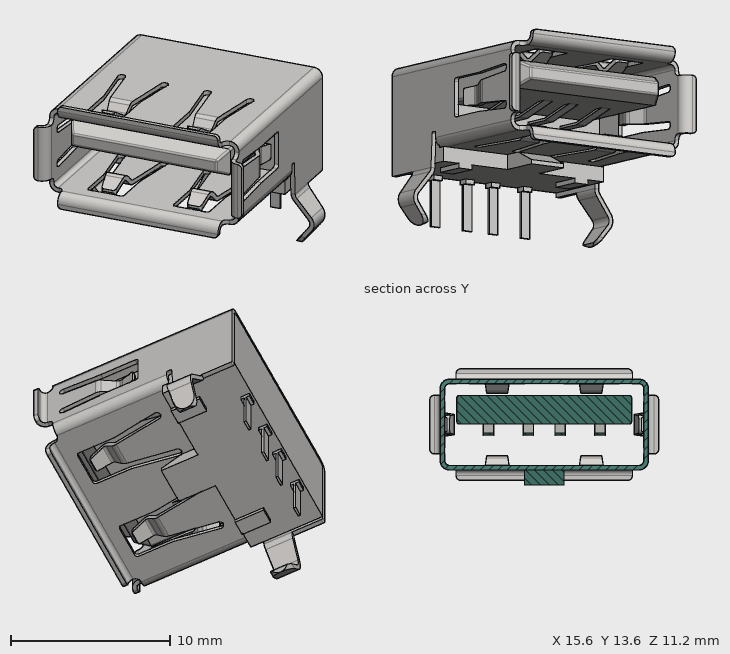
import cadquery as cq
import math


sheet = 0.3
opening_width = 12.5
opening_height = 5.12
shell_width = opening_width + 2 * sheet
shell_height = opening_height + 2 * sheet
inner_corner = 0.3
outer_corner = inner_corner + sheet
depth = 13.6
sleeve_front = 1.0
floor_end = 9.0
side_bottom = -1.25
side_corner = 0.1

lip_rise = 0.65
lip_bend = 0.5
lip_corner = 0.3
lip_root_round = 0.35
wide_lip = 11.1
side_lip = 3.7

slot_width = 0.5
window_half = 1.25
window_corner = 0.2
finger_corner = 0.2
finger_reach = 2.0
flat_finger_x = 2.96
flat_finger_y = 1.52
flat_finger = dict(
    straight=2.6, length=6.0, end_half=1.73, tip_half=0.47, bend=0.35,
    path=[(2.8, 0), (2.4, 0), (1.7, 0.69), (0.5, 0.0)],
)
side_finger_y = 6.99
side_finger = dict(
    straight=2.6, length=5.5, end_half=1.43, tip_half=0.54, bend=0.6,
    path=[(3.0, 0), (2.83, 0), (1.7, 0.6), (1.4, 0.6), (0.48, 0.3)],
)

leg_y = 10.46
leg_half_top = 0.99
leg_half_tip = 0.73
leg_lean = math.radians(51)
leg_bend = 0.6
leg_reach = 7.775
leg_bottom = -4.81

relief_top = 1.0
relief_top_width = 0.34
relief_round = 0.1

base_front = 8.56
insert_bottom = -0.95
foot_x = 4.52
foot_width = 1.0
foot_length = 2.0
wedge_width = 2.5
wedge_front = 6.0
wedge_nose = 0.27
wedge_top_front = 7.4

tongue_width = 11.0
tongue_bottom = 2.89
tongue_top = 4.69
tongue_front = sleeve_front
tongue_taper_start = 2.0
tongue_taper = 0.5
tongue_round = 0.15

contact_xs = (-3.5, -1.0, 1.0, 3.5)
contact_width = 0.67
contact_sheet = 0.15
contact_low = 2.18
contact_tip_y = 4.6
contact_crest_y = 7.25
contact_bend = 0.3
pin_y = 13.16
pin_bottom = -4.21
collar_depth = 0.6


def strip_face(path, bend, offset):
    """One face of a bent strip, left of its mid-line path by offset: start, bend arcs and end."""
    headings = []
    for (u0, v0), (u1, v1) in zip(path, path[1:]):
        run = math.hypot(u1 - u0, v1 - v0)
        headings.append(((u1 - u0) / run, (v1 - v0) / run))

    def beside(point, heading, along):
        u = point[0] + heading[0] * along - heading[1] * offset
        v = point[1] + heading[1] * along + heading[0] * offset
        return (u, v)

    arcs = []
    for point, a, b in zip(path[1:-1], headings, headings[1:]):
        turn = math.atan2(a[0] * b[1] - a[1] * b[0], a[0] * b[0] + a[1] * b[1])
        setback = bend * math.tan(abs(turn) / 2)
        radius = bend - math.copysign(1, turn) * offset
        span = math.hypot(b[0] - a[0], b[1] - a[1])
        inward = ((b[0] - a[0]) / span, (b[1] - a[1]) / span)
        reach = bend / math.cos(turn / 2) - radius
        middle = (point[0] + inward[0] * reach, point[1] + inward[1] * reach)
        arcs.append((beside(point, a, -setback), middle, beside(point, b, setback)))
    return beside(path[0], headings[0], 0), arcs, beside(path[-1], headings[-1], 0)


def bent_strip(plane, path, bend, thickness, width):
    """Strip of constant thickness along a mid-line path, centred on its plane."""
    start, arcs, end = strip_face(path, bend, thickness / 2)
    outline = cq.Workplane(plane).moveTo(*start)
    for first, middle, last in arcs:
        outline = outline.lineTo(*first).threePointArc(middle, last)
    outline = outline.lineTo(*end)
    start, arcs, end = strip_face(path, bend, -thickness / 2)
    outline = outline.lineTo(*end)
    for first, middle, last in reversed(arcs):
        outline = outline.lineTo(*last).threePointArc(middle, first)
    return outline.lineTo(*start).close().extrude(width / 2, both=True)


def block(x0, x1, y0, y1, z0, z1):
    return cq.Workplane("XY").box(x1 - x0, y1 - y0, z1 - z0, centered=False).translate((x0, y0, z0))


def mirrored_pair(left):
    return [left, left.mirror("YZ")]


def onto_top(feature, x=0, y=0):
    """Moves a feature made on a wall whose outer face is z = 0 onto the top wall."""
    return feature.translate((x, y, shell_height))


def onto_floor(feature, x=0, y=0):
    return feature.mirror("XY").translate((x, y, 0))


def onto_left(feature, y=0):
    turned = feature.rotate((0, 0, 0), (0, 1, 0), -90)
    return turned.translate((-shell_width / 2, y, shell_height / 2))



def make_sleeve():
    """Closed sleeve in front, and an open-bottomed channel with side plates behind the floor."""
    middle = shell_height / 2
    length = floor_end - sleeve_front
    sleeve = block(-shell_width / 2, shell_width / 2, sleeve_front, floor_end, 0, shell_height)
    sleeve = sleeve.edges("|Y").fillet(outer_corner)
    bore = cq.Workplane("XY").box(opening_width, length, opening_height).edges("|Y").fillet(inner_corner)
    sleeve = sleeve.cut(bore.translate((0, sleeve_front + length / 2, middle)))

    half = shell_width / 2
    channel = block(-half, half, floor_end, depth, side_bottom, shell_height)
    channel = channel.edges("|Y and >Z").fillet(outer_corner)
    channel = channel.edges("|X and <Z and >Y").fillet(side_corner)
    half = opening_width / 2
    inside = block(-half, half, floor_end, depth, side_bottom, shell_height - sheet)
    channel = channel.cut(inside.edges("|Y and >Z").fillet(inner_corner))
    return sleeve.union(channel)


def make_lip(width):
    """Lip bent outwards, with rounded free corners and a rounded root on either side."""
    mid = sheet / 2
    path = [(sleeve_front, -mid), (mid, -mid), (mid, lip_rise)]
    lip = bent_strip("YZ", path, lip_bend, sheet, width)
    lip = lip.edges("|Y and >Z").fillet(lip_corner)
    root_half = width / 2 + lip_root_round
    root_front = sleeve_front - lip_root_round
    root = block(-root_half, root_half, root_front, sleeve_front, -sheet, 0)
    for x in (-root_half, root_half):
        corner = cq.Workplane("XY").center(x, root_front).circle(lip_root_round).extrude(-sheet)
        root = root.cut(corner)
    return lip.union(root)


def finger_half(finger, length):
    """Half width of the tapered finger at a distance from the free end of its window."""
    tip = finger["path"][-1][0]
    root_half = finger["end_half"] - slot_width
    root = finger["length"] - slot_width / 2
    return finger["tip_half"] + (root_half - finger["tip_half"]) * (length - tip) / (root - tip)


def make_window(finger):
    """Opening around a finger and below its bent part; the flat part of the finger stays in the wall."""
    slot_end = finger["length"] - slot_width / 2
    end_half = finger["end_half"]
    fold = finger["path"][0][0]
    fold_half = finger_half(finger, fold)
    window = (
        cq.Workplane("XY")
        .moveTo(-window_half, 0)
        .lineTo(window_half, 0)
        .lineTo(window_half, finger["straight"])
        .lineTo(end_half, slot_end)
        .threePointArc((end_half - slot_width / 2, finger["length"]), (end_half - slot_width, slot_end))
        .lineTo(fold_half, fold)
        .lineTo(-fold_half, fold)
        .lineTo(slot_width - end_half, slot_end)
        .threePointArc((slot_width / 2 - end_half, finger["length"]), (-end_half, slot_end))
        .lineTo(-window_half, finger["straight"])
        .close()
        .extrude(-sheet)
    )
    return window.edges("|Z and <Y").fillet(window_corner)


def make_finger(finger):
    """Bent part of a spring finger, tapering to its rounded tip."""
    path = [(length, -dip - sheet / 2) for length, dip in finger["path"]]
    fold = path[0][0]
    tip = path[-1][0]
    fold_half = finger_half(finger, fold)
    tip_half = finger["tip_half"]
    corners = [(-fold_half, fold), (fold_half, fold), (tip_half, tip), (-tip_half, tip)]
    outline = cq.Workplane("XY").polyline(corners).close().extrude(finger_reach, both=True)
    outline = outline.edges("|Z and <Y").fillet(finger_corner)
    return bent_strip("YZ", path, finger["bend"], sheet, 2 * window_half).intersect(outline)


def make_leg():
    """Left board leg: a tapered, round-ended strip bent out and then back in."""
    wall_x = -(shell_width - sheet) / 2
    bend_z = side_bottom - leg_bend * math.tan((math.pi / 2 - leg_lean) / 2)
    knee_x = sheet / 2 - leg_reach - leg_bend * (1 / math.sin(leg_lean) - 1)
    knee_z = bend_z - (wall_x - knee_x) * math.tan(leg_lean)
    end_z = leg_bottom + sheet / 2 * math.cos(leg_lean)
    end_x = knee_x + (knee_z - end_z) / math.tan(leg_lean)
    path = [(wall_x, 0), (wall_x, bend_z), (knee_x, knee_z), (end_x, end_z)]
    strip = bent_strip("XZ", path, leg_bend, sheet, 2 * leg_half_top).translate((0, leg_y, 0))

    round_height = leg_half_tip * math.sin(leg_lean)
    round_z = leg_bottom + round_height
    corners = [
        (leg_y - leg_half_top, side_bottom),
        (leg_y + leg_half_top, side_bottom),
        (leg_y + leg_half_tip, round_z),
        (leg_y - leg_half_tip, round_z),
    ]
    outline = cq.Workplane("YZ").polyline(corners).close().extrude(-shell_width)
    tip = cq.Workplane("YZ").center(leg_y, round_z).ellipse(leg_half_tip, round_height).extrude(-shell_width)
    return strip.intersect(outline.union(tip))


def make_relief():
    """Slot through both side plates in front of the legs."""
    corners = [
        (floor_end, relief_top),
        (floor_end + relief_top_width, relief_top),
        (leg_y - leg_half_top, side_bottom),
        (floor_end, side_bottom),
    ]
    relief = cq.Workplane("YZ").polyline(corners).close().extrude(shell_width / 2, both=True)
    return relief.edges("|X and >Z").fillet(relief_round)


def make_shell():
    shell = make_sleeve().cut(make_relief())

    flat_window = make_window(flat_finger)
    flat_spring = make_finger(flat_finger)
    for x in (-flat_finger_x, flat_finger_x):
        for place in (onto_top, onto_floor):
            shell = shell.cut(place(flat_window, x, flat_finger_y))
            shell = shell.union(place(flat_spring, x, flat_finger_y))

    side_window = onto_left(make_window(side_finger).mirror("XZ"), side_finger_y)
    for window in mirrored_pair(side_window):
        shell = shell.cut(window)

    left_parts = [
        onto_left(make_finger(side_finger).mirror("XZ"), side_finger_y),
        onto_left(make_lip(side_lip)),
        make_leg(),
    ]
    for left_part in left_parts:
        for part in mirrored_pair(left_part):
            shell = shell.union(part)
    shell = shell.union(onto_top(make_lip(wide_lip)))
    return shell.union(onto_floor(make_lip(wide_lip)))



def make_body():
    """Block filling the back of the shell; its base, feet and central wedge reach under the floor."""
    half = opening_width / 2
    body = block(-half, half, floor_end, depth, insert_bottom, shell_height - sheet)
    body = body.edges("|Y and >Z").fillet(inner_corner)
    body = body.union(block(-half, half, base_front, floor_end, insert_bottom, 0))
    foot_back = base_front + foot_length
    for x in (-foot_x, foot_x):
        left = x - foot_width / 2
        foot = block(left, left + foot_width, base_front, foot_back, side_bottom, insert_bottom)
        body = body.union(foot)
    corners = [
        (base_front, insert_bottom),
        (wedge_front, insert_bottom),
        (wedge_front, insert_bottom + wedge_nose),
        (wedge_top_front, 0),
        (base_front, 0),
    ]
    wedge = cq.Workplane("YZ").polyline(corners).close().extrude(wedge_width / 2, both=True)
    return body.union(wedge)


def make_tongue():
    """Tongue with a tapered nose and rounded edges."""
    height = tongue_top - tongue_bottom
    half = tongue_width / 2
    tongue = block(-half, half, tongue_taper_start, floor_end, tongue_bottom, tongue_top)
    nose = (
        cq.Workplane("XZ", origin=(0, tongue_taper_start, (tongue_top + tongue_bottom) / 2))
        .rect(tongue_width, height)
        .workplane(offset=tongue_taper_start - tongue_front)
        .rect(tongue_width - 2 * tongue_taper, height - 2 * tongue_taper)
        .loft(combine=True)
    )
    tongue = tongue.union(nose)
    return tongue.edges("<Y or (not (|X or |Z))").fillet(tongue_round)


def make_contact(x):
    """Spring blade bowed below the tongue, and the board pin with its collar behind."""
    half_sheet = contact_sheet / 2
    low = contact_low + half_sheet
    path = [(contact_tip_y, tongue_bottom + half_sheet), (contact_crest_y, low), (floor_end, low)]
    blade = bent_strip("YZ", path, contact_bend, contact_sheet, contact_width).translate((x, 0, 0))
    left = x - contact_width / 2
    right = x + contact_width / 2
    pin = block(left, right, pin_y - half_sheet, pin_y + half_sheet, pin_bottom, insert_bottom)
    collar_front = pin_y - collar_depth / 2
    collar = block(left, right, collar_front, collar_front + collar_depth, side_bottom, insert_bottom)
    return blade.union(pin).union(collar)


def make_insert():
    insert = make_body().union(make_tongue())
    for x in contact_xs:
        insert = insert.union(make_contact(x))
    return insert


shell = make_shell()
insert = make_insert()
result = cq.Compound.makeCompound([shell.val(), insert.val()])